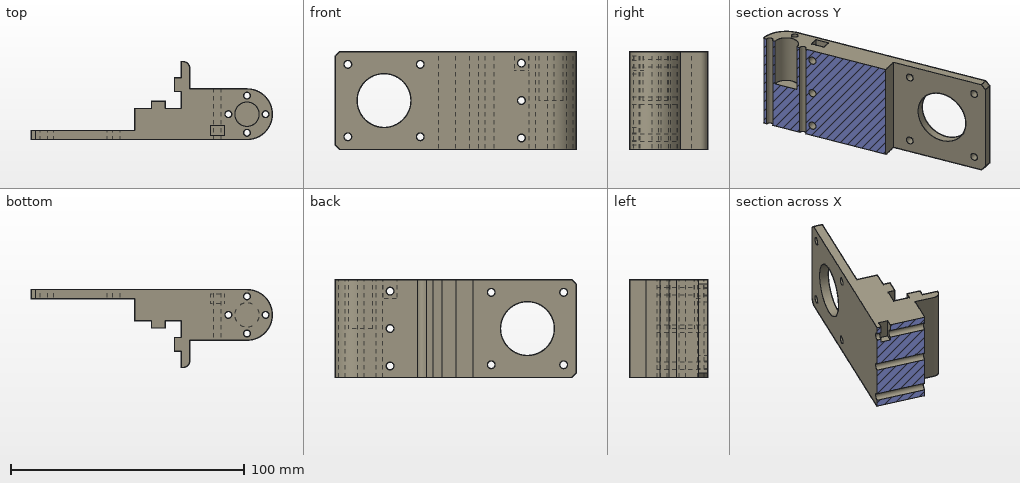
import cadquery as cq

length = 103.5
height = 42.0
body_depth = 21.8
plate_thickness = 4.0
plate_corner_chamfer = 2.0
end_radius = body_depth / 2
end_center_x = length - end_radius

seat_start_x = 44.4
seat_y = 13.5
wall_x = 64.4
key_width = 6.0
seat_key_x = 51.5
seat_key_height = 3.1
wall_key_y = 20.6
wall_key_height = 2.9

tab_top_y = 33.5
tab_thickness = 3.7
tab_radius = 3.0

motor_center_x = height / 2
motor_opening_diameter = 23.0
motor_hole_spacing = 31.0
screw_diameter = 3.2

mount_x = 79.9
mount_spacing = 16.0
nut_pocket_length = 6.0
nut_pocket_width = 4.1
nut_pocket_start_y = 1.9
nut_pocket_depth = 8.1

bore_diameter = 10.5
bore_depth = height / 2
ring_radius = 8.0
ring_hole_diameter = 2.8
ring_hole_count = 4

mid_z = height / 2


def make_body():
    tab_outer_x = wall_x + tab_thickness
    body = (
        cq.Workplane("XY")
        .lineTo(end_center_x, 0)
        .threePointArc((length, end_radius), (end_center_x, body_depth))
        .lineTo(tab_outer_x, body_depth)
        .lineTo(tab_outer_x, tab_top_y - tab_radius)
        .radiusArc((tab_outer_x - tab_radius, tab_top_y), -tab_radius)
        .lineTo(wall_x, tab_top_y)
        .lineTo(wall_x, seat_y)
        .lineTo(seat_start_x, seat_y)
        .lineTo(seat_start_x, plate_thickness)
        .lineTo(0, plate_thickness)
        .close()
        .extrude(height)
    )
    return body.faces("<X").edges("|Y").chamfer(plate_corner_chamfer)


def make_keys():
    seat_key = cq.Workplane("XY").box(key_width, seat_key_height, height, centered=False)
    wall_key = cq.Workplane("XY").box(wall_key_height, key_width, height, centered=False)
    seat_key = seat_key.translate((seat_key_x, seat_y, 0))
    wall_key = wall_key.translate((wall_x - wall_key_height, wall_key_y, 0))
    return seat_key.union(wall_key)


def holes_along_y(points, diameter):
    """Cutters through the full depth, at (x, z) points."""
    return cq.Workplane("XZ").pushPoints(points).circle(diameter / 2).extrude(-tab_top_y)


def make_motor_cuts():
    half_spacing = motor_hole_spacing / 2
    points = [
        (motor_center_x + side * half_spacing, mid_z + level * half_spacing)
        for side in (-1, 1)
        for level in (-1, 1)
    ]
    opening = holes_along_y([(motor_center_x, mid_z)], motor_opening_diameter)
    return opening.union(holes_along_y(points, screw_diameter))


def make_mount_cuts():
    points = [(mount_x, mid_z + level * mount_spacing) for level in (-1, 0, 1)]
    pocket = cq.Workplane("XY").box(
        nut_pocket_length, nut_pocket_width, nut_pocket_depth, centered=(True, False, False)
    )
    pocket = pocket.translate((mount_x, nut_pocket_start_y, height - nut_pocket_depth))
    return holes_along_y(points, screw_diameter).union(pocket)


def make_end_cuts():
    end_center = cq.Workplane("XY").center(end_center_x, end_radius)
    ring = (
        end_center.polarArray(ring_radius, 0, 360, ring_hole_count)
        .circle(ring_hole_diameter / 2)
        .extrude(height)
    )
    bore = end_center.workplane(offset=height).circle(bore_diameter / 2).extrude(-bore_depth)
    return ring.union(bore)


result = (
    make_body()
    .union(make_keys())
    .cut(make_motor_cuts())
    .cut(make_mount_cuts())
    .cut(make_end_cuts())
)